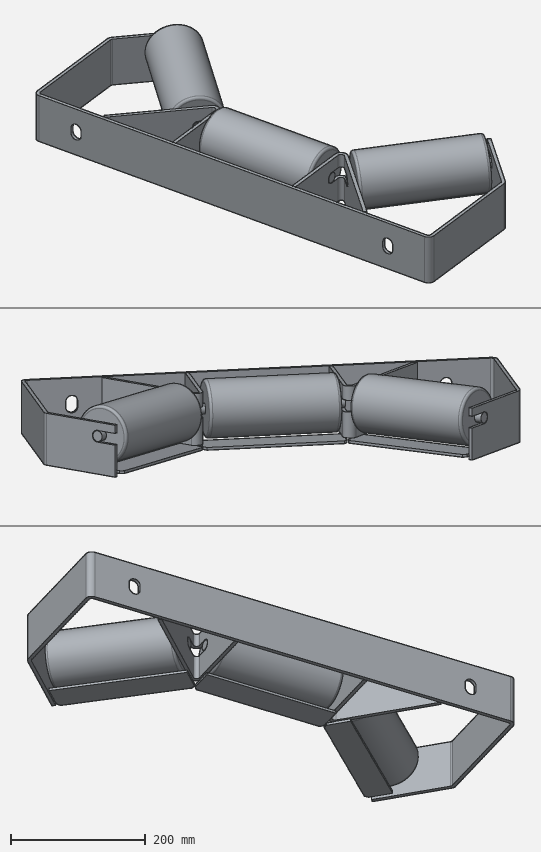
import cadquery as cq
import math

ROOT2 = math.sqrt(2)

bar_width = 80.0
bar_thickness = 6.0

frame_length = 720
half_length = frame_length / 2
frame_bend_radius = 10.0
arm_bend_y = 196.0
arm_tip_y = 286.0
mount_slot_spacing = 566.0
mount_slot_width = 18.0
mount_slot_height = 27.0

roller_diameter = 88.5
roller_length = 200.0
roller_edge_radius = 4.0
shaft_diameter = 16.5
shaft_slot_width = 18.0
axle_gap = 212.0
middle_axis_y = 100.0
middle_axis_z = 49.0
arm_axis_z = 58.0
side_axis_sum = -29.0

bracket_face_x = axle_gap / 2
bracket_bend_radius = 11.0

plate_thickness = 4.0
plate_inner_reach = 1.5
plate_outer_reach = 41.0
plate_depth = plate_inner_reach + plate_outer_reach
plate_overlap = 3.0
plate_corner_chamfer = 5.0

arm_outer_offset = arm_bend_y + half_length
arm_inner_offset = arm_outer_offset - ROOT2 * bar_thickness
leg_outer_offset = arm_inner_offset - ROOT2 * axle_gap
leg_inner_offset = leg_outer_offset - ROOT2 * bar_thickness


def on_side_axis(offset, z):
    """Point where the left side axis crosses the plan line y = x + offset."""
    return cq.Vector((side_axis_sum - offset) / 2, (side_axis_sum + offset) / 2, z)


arm_point = on_side_axis(arm_inner_offset, arm_axis_z)
leg_point = on_side_axis(leg_outer_offset, middle_axis_z)
side_span = (leg_point - arm_point).Length
side_tilt = math.asin((arm_axis_z - middle_axis_z) / side_span)
middle_point = cq.Vector(-bracket_face_x, middle_axis_y, middle_axis_z)
diagonal = cq.Vector(1, 1, 0)
away_from_base = cq.Vector(0, 1, 0)

side_plane = cq.Plane(arm_point, diagonal, leg_point - arm_point)
middle_plane = cq.Plane(middle_point, away_from_base, cq.Vector(1, 0, 0))


def bend(bar, outer_corner, inner_corner, outer_radius):
    """Round the sharp outer and inner edges of one bend."""
    for corner, radius in (
        (outer_corner, outer_radius),
        (inner_corner, outer_radius - bar_thickness),
    ):
        edge = cq.selectors.NearestToPointSelector((*corner, bar_width / 2))
        bar = bar.edges("|Z").edges(edge).fillet(radius)
    return bar


def shaft_slot(point, open_direction, normal):
    """Cutter for a slot with a round end at the shaft, open along open_direction."""
    reach = 3 * shaft_slot_width
    depth = 2 * bar_thickness
    plane = cq.Plane(point, open_direction, normal)
    round_end = cq.Workplane(plane).circle(shaft_slot_width / 2).extrude(depth)
    straight = (
        cq.Workplane(plane)
        .center(reach / 2, 0)
        .rect(reach, shaft_slot_width)
        .extrude(depth)
    )
    return round_end.union(straight)


def mirrored(body):
    return body.mirror("YZ")


def make_frame():
    inner_x = half_length - bar_thickness
    inner_bend_y = arm_inner_offset - inner_x
    tip_step = bar_thickness / ROOT2
    tip_x = arm_outer_offset - arm_tip_y
    half_outline = [
        (-half_length, 0),
        (-half_length, arm_bend_y),
        (-tip_x, arm_tip_y),
        (-tip_x + tip_step, arm_tip_y - tip_step),
        (-inner_x, inner_bend_y),
        (-inner_x, bar_thickness),
    ]
    other_half = [(-x, y) for x, y in reversed(half_outline)]
    frame = cq.Workplane("XY").polyline(half_outline + other_half).close().extrude(bar_width)
    for side in (-1, 1):
        frame = bend(
            frame,
            (side * half_length, 0),
            (side * inner_x, bar_thickness),
            frame_bend_radius,
        )
        frame = bend(
            frame,
            (side * half_length, arm_bend_y),
            (side * inner_x, inner_bend_y),
            frame_bend_radius,
        )
    mount_slots = (
        cq.Workplane("XZ")
        .pushPoints([(side * mount_slot_spacing / 2, bar_width / 2) for side in (-1, 1)])
        .slot2D(mount_slot_height, mount_slot_width, angle=90)
        .extrude(-bar_thickness)
    )
    arm_slot = shaft_slot(arm_point, diagonal, cq.Vector(-1, 1, 0))
    return frame.cut(mount_slots).cut(arm_slot).cut(mirrored(arm_slot))


def make_left_bracket():
    outer_x = -bracket_face_x
    inner_x = outer_x - bar_thickness
    outer_corner = (outer_x, outer_x + leg_outer_offset)
    inner_corner = (inner_x, inner_x + leg_inner_offset)
    foot_x = bar_thickness - leg_inner_offset
    foot_step = bar_thickness / ROOT2
    outline = [
        (outer_x, bar_thickness),
        outer_corner,
        (foot_x - foot_step, bar_thickness + foot_step),
        (foot_x, bar_thickness),
        inner_corner,
        (inner_x, bar_thickness),
    ]
    bracket = cq.Workplane("XY").polyline(outline).close().extrude(bar_width)
    bracket = bend(bracket, outer_corner, inner_corner, bracket_bend_radius)
    diagonal_slot = shaft_slot(leg_point, diagonal, cq.Vector(1, -1, 0))
    straight_slot = shaft_slot(middle_point, away_from_base, cq.Vector(-1, 0, 0))
    return bracket.cut(diagonal_slot).cut(straight_slot)


def make_roller(plane, span):
    """Roller and its shaft; the shaft ends are flush with the outsides of the supports."""
    shell = (
        cq.Workplane(plane)
        .workplane(offset=(span - roller_length) / 2)
        .circle(roller_diameter / 2)
        .extrude(roller_length)
        .edges()
        .fillet(roller_edge_radius)
    )
    shaft = (
        cq.Workplane(plane)
        .workplane(offset=-bar_thickness)
        .circle(shaft_diameter / 2)
        .extrude(span + 2 * bar_thickness)
    )
    return shell.union(shaft)


def make_plate(plane, start, end, drop):
    """Level plate along an axis, its top face a distance drop below that axis."""
    return (
        cq.Workplane(plane)
        .workplane(offset=start)
        .center((plate_outer_reach - plate_inner_reach) / 2, -drop - plate_thickness / 2)
        .rect(plate_depth, plate_thickness)
        .extrude(end - start)
        .edges(cq.selectors.ParallelDirSelector(plane.yDir))
        .edges(cq.selectors.DirectionMinMaxSelector(plane.xDir, True))
        .chamfer(plate_corner_chamfer)
    )


frame = make_frame()

left_bracket = make_left_bracket()
brackets = [left_bracket, mirrored(left_bracket)]

left_roller = make_roller(side_plane, side_span)
middle_roller = make_roller(middle_plane, axle_gap)
rollers = [left_roller, middle_roller, mirrored(left_roller)]

side_drop = middle_axis_z * math.cos(side_tilt)
side_start = (side_drop + plate_thickness) * math.tan(side_tilt)
side_end = side_span + side_drop * math.tan(side_tilt) + plate_overlap
left_plate = make_plate(side_plane, side_start, side_end, side_drop)
middle_plate = make_plate(
    middle_plane, -plate_overlap, axle_gap + plate_overlap, middle_axis_z
)
plates = [left_plate, middle_plate, mirrored(left_plate)]

bodies = [frame, *brackets, *rollers, *plates]
result = cq.Compound.makeCompound([body.val() for body in bodies])